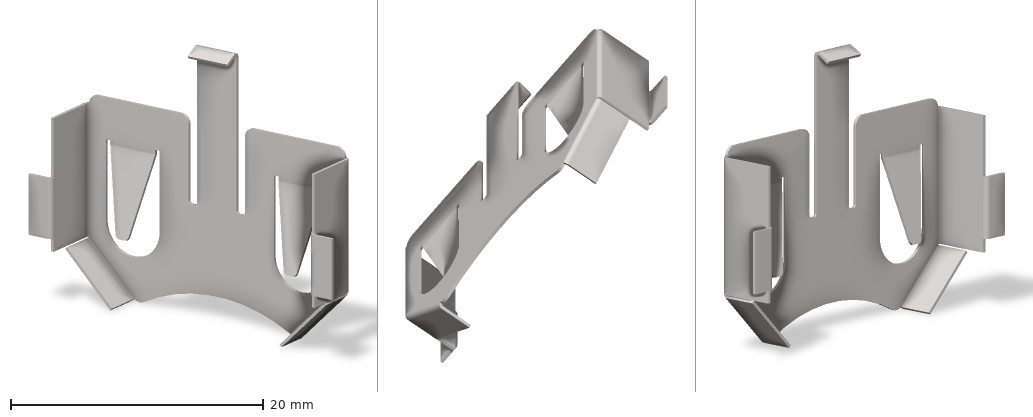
import cadquery as cq
import math

SHEET = 0.254
INNER_BEND = 0.127
OUTER_BEND = INNER_BEND + SHEET
MID_BEND = math.sqrt(0.5)

OUTER_HALF_WIDTH = 12.7
FOLD_X = OUTER_HALF_WIDTH - OUTER_BEND
PLATE_TOP = 16.51
CORNER_RADIUS = 0.79
ARCH_HEIGHT = 1.87

WALL_BOTTOM = 4.57
WALL_TOP = PLATE_TOP - CORNER_RADIUS
DIAGONAL_ANGLE = 45.0
DIAGONAL_DEPTH = 3.175

TAB_REACH = 29.21 / 2
TAB_DEPTH = 5.38
WALL_DEPTH = TAB_DEPTH - OUTER_BEND
TAB_BOTTOM = 5.69
TAB_HEIGHT = 5.08

ARM_HALF_WIDTH = 1.905
ARM_TOP = 22.57
HOOK_TURN = 120.0
HOOK_LENGTH = 1.15
SLOT_WIDTH = 0.8
SLOT_BOTTOM = 9.11
SLOT_END_RADIUS = 0.3

WINDOW_X = 8.1
WINDOW_WIDTH = 5.2
WINDOW_TOP = 13.01
WINDOW_BOTTOM = 3.67
FINGER_ROOT_WIDTH = 4.34
FINGER_TIP_WIDTH = 1.11
FINGER_TIP_RADIUS = 0.4
FINGER_BEND_Z = 12.66
FINGER_BOTTOM = 5.45
FINGER_ANGLE = 12.4

SLOPE = math.radians(DIAGONAL_ANGLE)
DIAGONAL_START_X = FOLD_X - WALL_BOTTOM / math.tan(SLOPE)
FOOT_X = DIAGONAL_START_X - CORNER_RADIUS * math.tan(SLOPE / 2)
FOOT_TANGENT_X = FOOT_X + CORNER_RADIUS * math.sin(SLOPE)
FOOT_TANGENT_Z = CORNER_RADIUS * (1 - math.cos(SLOPE))
DIAGONAL_LENGTH = (WALL_BOTTOM - FOOT_TANGENT_Z) / math.sin(SLOPE)

ARCH_RADIUS = (FOOT_X**2 + (CORNER_RADIUS - ARCH_HEIGHT) ** 2 - CORNER_RADIUS**2) / (2 * ARCH_HEIGHT)
ARCH_CENTER_Z = ARCH_HEIGHT - ARCH_RADIUS
ARCH_SHARE = ARCH_RADIUS / (ARCH_RADIUS + CORNER_RADIUS)
ARCH_END_X = FOOT_X * ARCH_SHARE
ARCH_END_Z = ARCH_CENTER_Z + (CORNER_RADIUS - ARCH_CENTER_Z) * ARCH_SHARE

SLOT_OUTER_X = ARM_HALF_WIDTH + SLOT_WIDTH
ARM_FOLD_Z = ARM_TOP - OUTER_BEND


def sheet_blank(outline):
    """Give a closed XZ outline the sheet thickness, from Y = 0 toward -Y."""
    return outline.extrude(SHEET)


def both_sides(shape):
    """Return a +X feature together with its mirror image."""
    return shape.union(shape.mirror("YZ"))


def make_plate():
    """Flat back with an arched lower edge and one opening for the arm and its two slots."""
    outline = (
        cq.Workplane("XZ")
        .moveTo(-FOLD_X, PLATE_TOP)
        .lineTo(FOLD_X, PLATE_TOP)
        .lineTo(FOLD_X, WALL_BOTTOM)
        .lineTo(FOOT_TANGENT_X, FOOT_TANGENT_Z)
        .threePointArc((FOOT_X, 0), (ARCH_END_X, ARCH_END_Z))
        .threePointArc((0, ARCH_HEIGHT), (-ARCH_END_X, ARCH_END_Z))
        .threePointArc((-FOOT_X, 0), (-FOOT_TANGENT_X, FOOT_TANGENT_Z))
        .lineTo(-FOLD_X, WALL_BOTTOM)
        .close()
    )
    top_edge = cq.selectors.BoxSelector(
        (-OUTER_HALF_WIDTH, -OUTER_BEND, WALL_TOP), (OUTER_HALF_WIDTH, OUTER_BEND, ARM_TOP)
    )
    opening_height = PLATE_TOP - SLOT_BOTTOM
    opening = (
        cq.Workplane("XZ")
        .center(0, SLOT_BOTTOM + opening_height / 2)
        .rect(2 * SLOT_OUTER_X, opening_height)
    )
    plate = sheet_blank(outline).cut(sheet_blank(opening))
    return plate.edges("|Y").edges(top_edge).fillet(CORNER_RADIUS)


def make_arm():
    """Central arm with its hooked end."""
    turn = math.radians(HOOK_TURN)

    def on_bend(radius, angle):
        return (-OUTER_BEND + radius * math.cos(angle), ARM_FOLD_Z + radius * math.sin(angle))

    def on_hook_end(radius):
        y, z = on_bend(radius, turn)
        return (y - HOOK_LENGTH * math.sin(turn), z + HOOK_LENGTH * math.cos(turn))

    return (
        cq.Workplane("YZ")
        .moveTo(0, SLOT_BOTTOM)
        .lineTo(0, ARM_FOLD_Z)
        .threePointArc(on_bend(OUTER_BEND, turn / 2), on_bend(OUTER_BEND, turn))
        .lineTo(*on_hook_end(OUTER_BEND))
        .lineTo(*on_hook_end(INNER_BEND))
        .lineTo(*on_bend(INNER_BEND, turn))
        .threePointArc(on_bend(INNER_BEND, turn / 2), on_bend(INNER_BEND, 0))
        .lineTo(-SHEET, SLOT_BOTTOM)
        .close()
        .extrude(ARM_HALF_WIDTH, both=True)
    )


def round_slot_ends(body):
    """Round the bottom corners of the slots on either side of the arm."""
    slot_floor = cq.selectors.BoxSelector(
        (-SLOT_OUTER_X - INNER_BEND, -OUTER_BEND, SLOT_BOTTOM - INNER_BEND),
        (SLOT_OUTER_X + INNER_BEND, OUTER_BEND, SLOT_BOTTOM + INNER_BEND),
    )
    return body.edges("|Y").edges(slot_floor).fillet(SLOT_END_RADIUS)


def make_flange(depth, length):
    """Right-angle flange whose fold starts at the origin, running up +Z and leaning out to +X."""
    return (
        cq.Workplane("XY")
        .moveTo(0, 0)
        .threePointArc((OUTER_BEND * MID_BEND, OUTER_BEND * (MID_BEND - 1)), (OUTER_BEND, -OUTER_BEND))
        .lineTo(OUTER_BEND, -depth)
        .lineTo(INNER_BEND, -depth)
        .lineTo(INNER_BEND, -OUTER_BEND)
        .threePointArc((INNER_BEND * MID_BEND, INNER_BEND * MID_BEND - OUTER_BEND), (0, -SHEET))
        .close()
        .extrude(length)
    )


def make_wall():
    """Side wall, ending where the bend of its tab begins."""
    wall = make_flange(WALL_DEPTH, WALL_TOP - WALL_BOTTOM)
    return wall.translate((FOLD_X, 0, WALL_BOTTOM))


def make_diagonal_flange():
    """Flange along the diagonal edge, from the rounded foot up to the side wall."""
    flange = make_flange(DIAGONAL_DEPTH, DIAGONAL_LENGTH)
    flange = flange.rotate((0, 0, 0), (0, 1, 0), DIAGONAL_ANGLE)
    return flange.translate((FOOT_TANGENT_X, 0, FOOT_TANGENT_Z))


def make_tab():
    """Tab that turns outward from the free edge of the side wall."""
    bend_x = OUTER_HALF_WIDTH + INNER_BEND
    bend_y = -WALL_DEPTH

    def bend_middle(radius):
        return (bend_x - radius * MID_BEND, bend_y - radius * MID_BEND)

    return (
        cq.Workplane("XY")
        .workplane(offset=TAB_BOTTOM)
        .moveTo(bend_x - OUTER_BEND, bend_y)
        .threePointArc(bend_middle(OUTER_BEND), (bend_x, -TAB_DEPTH))
        .lineTo(TAB_REACH, -TAB_DEPTH)
        .lineTo(TAB_REACH, SHEET - TAB_DEPTH)
        .lineTo(bend_x, SHEET - TAB_DEPTH)
        .threePointArc(bend_middle(INNER_BEND), (bend_x - INNER_BEND, bend_y))
        .close()
        .extrude(TAB_HEIGHT)
    )


def make_window():
    """Round-bottomed opening that leaves the straight root of the finger attached at its top."""
    radius = WINDOW_WIDTH / 2
    root_half = FINGER_ROOT_WIDTH / 2
    outline = (
        cq.Workplane("XZ")
        .center(WINDOW_X, 0)
        .moveTo(-radius, WINDOW_TOP)
        .lineTo(-root_half, WINDOW_TOP)
        .lineTo(-root_half, FINGER_BEND_Z)
        .lineTo(root_half, FINGER_BEND_Z)
        .lineTo(root_half, WINDOW_TOP)
        .lineTo(radius, WINDOW_TOP)
        .lineTo(radius, WINDOW_BOTTOM + radius)
        .threePointArc((0, WINDOW_BOTTOM), (-radius, WINDOW_BOTTOM + radius))
        .close()
    )
    return sheet_blank(outline)


def make_finger():
    """Tapered spring finger: a short bend at the root, then a flat blade leaning toward -Y."""
    lean = math.radians(FINGER_ANGLE)
    blade_length = (FINGER_BEND_Z - FINGER_BOTTOM - OUTER_BEND * math.sin(lean)) / math.cos(lean)
    tip_z = FINGER_BEND_Z - blade_length
    blade = sheet_blank(
        cq.Workplane("XZ")
        .moveTo(-FINGER_ROOT_WIDTH / 2, FINGER_BEND_Z)
        .lineTo(FINGER_ROOT_WIDTH / 2, FINGER_BEND_Z)
        .lineTo(FINGER_TIP_WIDTH / 2, tip_z)
        .lineTo(-FINGER_TIP_WIDTH / 2, tip_z)
        .close()
    )
    blade = blade.faces("<Z").edges("|Y").fillet(FINGER_TIP_RADIUS)
    blade = blade.rotate((0, -OUTER_BEND, FINGER_BEND_Z), (1, -OUTER_BEND, FINGER_BEND_Z), -FINGER_ANGLE)
    bend = (
        cq.Workplane("XY")
        .workplane(offset=FINGER_BEND_Z)
        .center(0, -SHEET / 2)
        .rect(FINGER_ROOT_WIDTH, SHEET)
        .revolve(FINGER_ANGLE, (1, SHEET / 2 - OUTER_BEND), (0, SHEET / 2 - OUTER_BEND))
    )
    return blade.union(bend).translate((WINDOW_X, 0, 0))


wall_with_tab = make_wall().union(make_tab())

result = round_slot_ends(make_plate().union(make_arm()))
result = result.cut(both_sides(make_window()))
for feature in (wall_with_tab, make_diagonal_flange(), make_finger()):
    result = result.union(both_sides(feature))